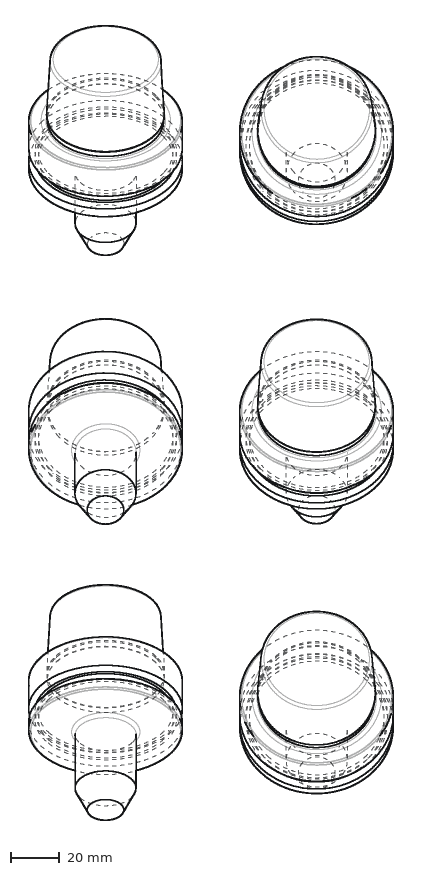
import cadquery as cq
import math


flange_radius = 31.5
flange_height = 26.0
flange_rim_chamfer = 0.7
flange_rim_rounding = 0.3
groove_center_z = -18.0
groove_width = 3.75
groove_floor_radius = 27.6
groove_flank_inner_radius = 29.0
groove_flank_angle = 30.0

recess_radius = 26.5
recess_depth = 0.45

neck_radius = 23.9
neck_root_fillet = 0.5
neck_top_z = 2.4
taper_base_z = 2.9
taper_top_z = 32.0
taper_gauge_radius = 24.0
taper_gauge_z = 6.3
taper_slope = 1 / 20
taper_top_fillet = 1.2

pin_radius = 12.5
pin_root_fillet = 1.5
pin_length = 38.9
tip_length = 10.8
tip_end_radius = 7.5

edge_tolerance = 0.01

flange_bottom_z = -flange_height
pin_end_z = flange_bottom_z - pin_length
tip_start_z = pin_end_z + tip_length
groove_top_z = groove_center_z + groove_width / 2
groove_bottom_z = groove_center_z - groove_width / 2
groove_flank_height = (flange_radius - groove_flank_inner_radius) * math.tan(math.radians(groove_flank_angle))


def taper_radius(z):
    """Radius of the taper cone at height z."""
    return taper_gauge_radius - taper_slope * (z - taper_gauge_z)


def revolve_profile(points):
    """Solid of revolution about Z from (radius, z) points."""
    return cq.Workplane("XZ").polyline(points).close().revolve(360, (0, 0), (0, 1))


def make_taper():
    """Tapered shank with a rounded upper rim, standing on a narrower neck."""
    taper = revolve_profile([
        (0, -recess_depth),
        (neck_radius, -recess_depth),
        (neck_radius, neck_top_z),
        (taper_radius(taper_base_z), taper_base_z),
        (taper_radius(taper_top_z), taper_top_z),
        (0, taper_top_z),
    ])
    return taper.faces(">Z").edges().fillet(taper_top_fillet)


def on_rim_chamfer(edge):
    """True for the circles bounding the chamfers of the upper and lower flange rims."""
    if edge.geomType() != "CIRCLE" or edge.radius() < recess_radius + edge_tolerance:
        return False
    height = edge.Center().z
    distance_to_rim = min(abs(height), abs(height - flange_bottom_z))
    return distance_to_rim < flange_rim_chamfer + edge_tolerance


def make_flange():
    """Flange with softened rim chamfers, the gripper groove and the conical recess in its upper face."""
    flange = revolve_profile([
        (0, flange_bottom_z),
        (flange_radius, flange_bottom_z),
        (flange_radius, groove_bottom_z - groove_flank_height),
        (groove_flank_inner_radius, groove_bottom_z),
        (groove_floor_radius, groove_bottom_z),
        (groove_floor_radius, groove_top_z),
        (groove_flank_inner_radius, groove_top_z),
        (flange_radius, groove_top_z + groove_flank_height),
        (flange_radius, 0),
        (recess_radius, 0),
        (neck_radius, -recess_depth),
        (0, -recess_depth),
    ])
    upper_rim = cq.selectors.RadiusNthSelector(-1)
    flange = flange.faces(">Z").edges(upper_rim).chamfer(flange_rim_chamfer)
    flange = flange.faces("<Z").edges().chamfer(flange_rim_chamfer)

    return flange.edges().filter(on_rim_chamfer).fillet(flange_rim_rounding)


def make_pin():
    """Round pin with a conical tip and a concave fillet at its root."""
    root_radius = pin_radius + pin_root_fillet
    fillet_end_z = flange_bottom_z - pin_root_fillet
    fillet_reach = pin_root_fillet * math.sqrt(0.5)
    fillet_middle = (root_radius - fillet_reach, fillet_end_z + fillet_reach)
    profile = (
        cq.Workplane("XZ")
        .moveTo(0, pin_end_z)
        .lineTo(tip_end_radius, pin_end_z)
        .lineTo(pin_radius, tip_start_z)
        .lineTo(pin_radius, fillet_end_z)
        .threePointArc(fillet_middle, (root_radius, flange_bottom_z))
        .lineTo(0, flange_bottom_z)
        .close()
    )
    return profile.revolve(360, (0, 0), (0, 1))


def on_neck_root(edge):
    """True for the circle where the neck meets the recess."""
    if edge.geomType() != "CIRCLE":
        return False
    return abs(edge.Center().z + recess_depth) < edge_tolerance


body = make_flange().union(make_taper())
body = body.edges().filter(on_neck_root).fillet(neck_root_fillet)
result = body.union(make_pin())